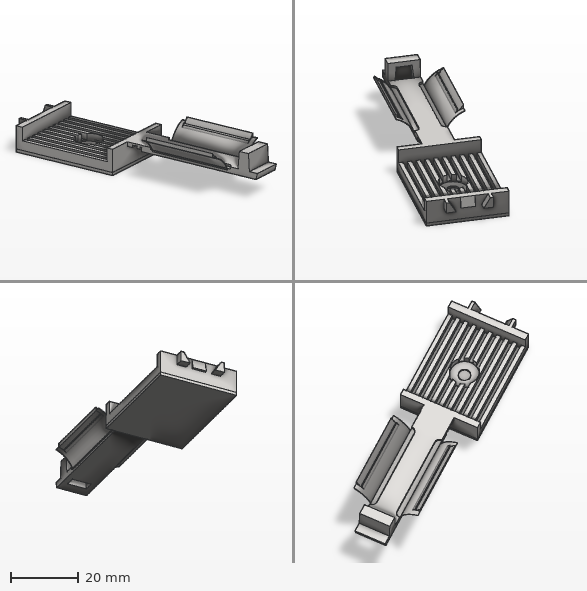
import cadquery as cq
import math


overall_length = 84.4

tray_start = 2.6
tray_end = 37.5
tray_width = 25.4
pad_thickness = 1.0
tray_top = 8.35
left_wall = 2.3
right_wall = 2.0
rib_top = 4.05
groove_floor = 2.0

rib_count = 10
groove_count = rib_count - 1
rib_width = 1.35
groove_width = (tray_width - rib_count * rib_width) / groove_count

seat_diameter = 8.9
seat_floor = 1.6
screw_diameter = 3.7
screw_x = (tray_start + tray_end) / 2

lug_bottom = 5.1
lug_outer = 7.3
lug_inner_top = 6.25
lug_inner_bottom = 4.2
wedge_width = 4.5
wedge_reach = 0.8

lid_half_width = 5.0
lid_bottom = 6.3
lid_tip_setback = 0.5
hinge_bottom = 6.9
hinge_end = 42.5
notch_top = 7.7
notches = [(39.25, 41.0), (42.0, hinge_end)]

wing_start = 46.6
wing_end = 73.6
wing_root_z = 7.2
wing_tip_y = 10.55
wing_tip_z = 12.4
wing_radius = 9.7
wing_thickness = 0.2
relief_clearance = 0.85
relief_inner = 3.4
relief_floor = 7.7
relief_corner = 1.5

lip_inset = 1.6
lip_inner = 9.0
lip_top = 13.75
catch_inner = 8.0
catch_outer = 8.8
catch_top = 12.3

post_base = (77.4, 81.5)
post_crown = (77.9, 81.2)
post_top = 14.0
socket_back_bottom = 80.4
socket_back_top = 79.7
socket_top = 12.5
socket_half_bottom = 3.1
socket_half_top = 2.45


def block(x_range, y_range, z_range):
    """Box given by its limits along each axis."""
    corner = (x_range[0], y_range[0], z_range[0])
    size = [high - low for low, high in (x_range, y_range, z_range)]
    return cq.Workplane("XY").box(*size, centered=False).translate(corner)


def side_profile(points, half_width):
    """Prism with an XZ outline, centred across Y."""
    return cq.Workplane("XZ").polyline(points).close().extrude(half_width, both=True)


def cross_profile(points, x_start, x_end):
    """Prism with a YZ outline, running along X."""
    plane = cq.Workplane("YZ", origin=(x_start, 0, 0))
    return plane.polyline(points).close().extrude(x_end - x_start)


def mirrored_pair(shape):
    """The shape together with its mirror image across the centre line."""
    return shape.union(shape.mirror("XZ"))


def make_tray():
    half_width = tray_width / 2
    inside = (tray_start + left_wall, tray_end - right_wall)
    tray = block((tray_start, tray_end), (-half_width, half_width), (pad_thickness, tray_top))
    tray = tray.cut(block(inside, (-half_width, half_width), (rib_top, tray_top)))
    for index in range(groove_count):
        groove_start = -half_width + rib_width + index * (rib_width + groove_width)
        groove = (groove_start, groove_start + groove_width)
        tray = tray.cut(block(inside, groove, (groove_floor, rib_top)))
    return tray.cut(make_screw_seat())


def make_screw_seat():
    seat = cq.Workplane("XY", origin=(screw_x, 0, seat_floor))
    seat = seat.circle(seat_diameter / 2).extrude(rib_top - seat_floor)
    hole = cq.Workplane("XY", origin=(screw_x, 0, pad_thickness))
    return seat.union(hole.circle(screw_diameter / 2).extrude(seat_floor - pad_thickness))


def make_guides():
    lug = cross_profile(
        [
            (lug_outer, lug_bottom),
            (lug_outer, tray_top),
            (lug_inner_top, tray_top),
            (lug_inner_bottom, lug_bottom),
        ],
        0,
        tray_start,
    )
    wedge = side_profile(
        [
            (tray_start, tray_top),
            (tray_start - wedge_reach, lug_bottom),
            (tray_start, lug_bottom),
        ],
        wedge_width / 2,
    )
    return mirrored_pair(lug).union(wedge)


def make_lid_strip():
    strip = side_profile(
        [
            (tray_end, tray_top),
            (overall_length, tray_top),
            (overall_length - lid_tip_setback, lid_bottom),
            (hinge_end, lid_bottom),
            (hinge_end, hinge_bottom),
            (tray_end, hinge_bottom),
        ],
        lid_half_width,
    )
    full_width = (-lid_half_width, lid_half_width)
    for notch in notches:
        strip = strip.cut(block(notch, full_width, (hinge_bottom, notch_top)))
    return strip.cut(mirrored_pair(make_relief()))


def make_relief():
    """Pocket in the lid's top along one wing, open to the side, with rounded inner corners."""
    x_range = (wing_start - relief_clearance, wing_end + relief_clearance)
    relief = block(x_range, (relief_inner, lid_half_width), (relief_floor, tray_top))
    return relief.edges("|Z and <Y").fillet(relief_corner)


def make_wing():
    """Thin arched sheet rising outward from the lid's +Y side, with its lip and catch rib."""
    run = wing_tip_y - lid_half_width
    rise = wing_tip_z - wing_root_z
    chord = math.hypot(run, rise)
    centre_offset = math.sqrt(wing_radius**2 - (chord / 2) ** 2)
    centre_y = (lid_half_width + wing_tip_y) / 2 + centre_offset * rise / chord
    centre_z = (wing_root_z + wing_tip_z) / 2 - centre_offset * run / chord

    def height(radius, y):
        return centre_z + math.sqrt(radius**2 - (y - centre_y) ** 2)

    def arc_points(radius):
        middle_y = (lid_half_width + wing_tip_y) / 2
        return [(y, height(radius, y)) for y in (lid_half_width, middle_y, wing_tip_y)]

    top_radius = wing_radius + wing_thickness
    under = arc_points(wing_radius)
    over = arc_points(top_radius)
    sheet = (
        cq.Workplane("YZ", origin=(wing_start, 0, 0))
        .moveTo(*under[0])
        .threePointArc(under[1], under[2])
        .lineTo(*over[2])
        .threePointArc(over[1], over[0])
        .close()
        .extrude(wing_end - wing_start)
    )

    root_radius = wing_radius + wing_thickness / 2
    lip = [
        (lip_inner, height(root_radius, lip_inner)),
        (lip_inner, height(top_radius, lip_inner)),
        (wing_tip_y, lip_top),
        (wing_tip_y, height(root_radius, wing_tip_y)),
    ]
    catch = [
        (catch_inner, height(root_radius, catch_inner)),
        (catch_inner, height(top_radius, catch_inner)),
        (catch_outer, catch_top),
        (catch_outer, height(root_radius, catch_outer)),
    ]
    for outline in (lip, catch):
        sheet = sheet.union(cross_profile(outline, wing_start + lip_inset, wing_end - lip_inset))
    return sheet


def make_post():
    return side_profile(
        [
            (post_base[0], tray_top),
            (post_crown[0], post_top),
            (post_crown[1], post_top),
            (post_base[1], tray_top),
        ],
        lid_half_width,
    )


def make_socket():
    """Tapered socket in the post's left face, open through the underside of the lid."""
    depth = side_profile(
        [
            (post_base[0], lid_bottom),
            (post_base[0], socket_top),
            (socket_back_top, socket_top),
            (socket_back_bottom, lid_bottom),
        ],
        socket_half_bottom,
    )
    width = cross_profile(
        [
            (-socket_half_bottom, lid_bottom),
            (-socket_half_top, socket_top),
            (socket_half_top, socket_top),
            (socket_half_bottom, lid_bottom),
        ],
        post_base[0],
        socket_back_bottom,
    )
    return depth.intersect(width)


def make_housing():
    housing = make_tray().union(make_guides()).union(make_lid_strip())
    housing = housing.union(mirrored_pair(make_wing()))
    return housing.union(make_post()).cut(make_socket())


def make_pad():
    half_width = tray_width / 2
    return block((tray_start, tray_end), (-half_width, half_width), (0, pad_thickness))


housing = make_housing()
pad = make_pad()

result = cq.Compound.makeCompound([*housing.solids().vals(), *pad.solids().vals()])